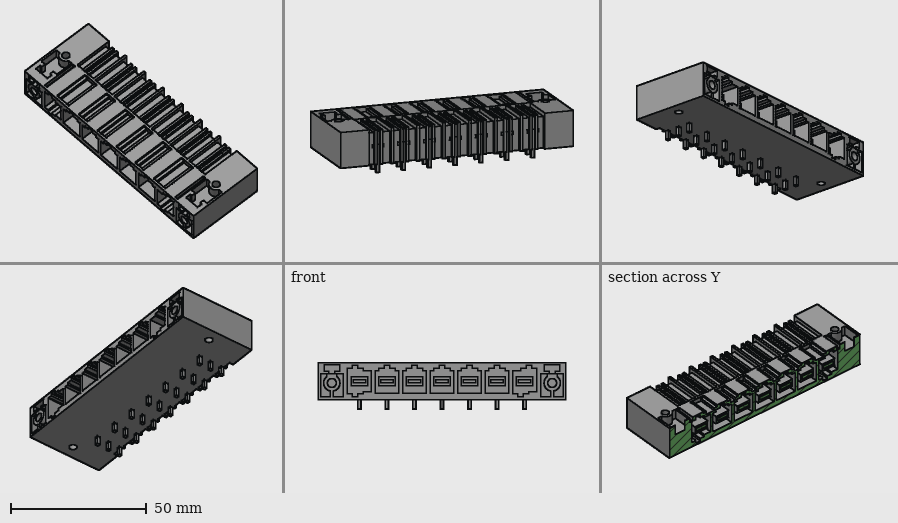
import cadquery as cq

LENGTH = 91.4
DEPTH = 32.2
HEIGHT = 13.7
POLES = 7
PITCH = LENGTH / 9
POLE_XS = [(i - (POLES - 1) / 2) * PITCH for i in range(POLES)]
WALL_XS = [x + PITCH / 2 for x in POLE_XS[:-1]]
END_X = 4 * PITCH

BLADE_WIDTH = 4.6
BLADE_BOTTOM = 6.3
BLADE_THICKNESS = 1.2
BLADE_TOP = BLADE_BOTTOM + BLADE_THICKNESS
BLADE_FRONT = 5.7
PIN_SIZE = 1.3
PIN_PITCH = 5.1
PIN_DROP = 3.4
PIN_ROWS = 3

SOCKET_WIDTH = 8.8
SOCKET_FLOOR = 2.5
SOCKET_LOW_FLOOR = 2.2
SOCKET_HIGH_FLOOR = 3.0
SOCKET_SHOULDER = 10.7
SOCKET_ROOF = 11.6
SHOULDER_WIDTH = 1.4
END_SHOULDER_WIDTH = 2.9
KEY_WIDTH = 2.0
KEY_TOP = 12.7
KEY_BOTTOM = 1.1
END_KEY_OFFSET = 1.6
SOCKET_DEPTH = 15.2
SLEEVE_WIDTH = 6.1
SLEEVE_HEIGHT = 3.4

TERRACE_WIDTH = 69.1
TERRACE_FRONT = 16.3
TERRACE_BACK = 30.5
TERRACE_FLOOR = 12.1
FIN_WIDTH = 1.0
TWIN_FIN_SPACING = 2.2
TWIN_FIN_BACK = 31.5
TWIN_FIN_TOP = 13.1
TWIN_GAP_FILL_TOP = 12.3
WINDOW_FRONT = 19.0
WINDOW_BACK = 28.35

GROOVE_FRONT = 1.1
GROOVE_BACK = SOCKET_DEPTH
GROOVE_LEDGE = 13.0
GROOVE_FLOOR = 11.9
LEDGE_WIDTH = 1.4
GROOVE_CORE = 2.0
WIDE_GROOVE_CORE = 3.7
WIDE_GROOVE_SHIFT = 0.7
END_SLOT_WIDTH = 1.2
END_SLOT_X = 35.3

SCREW_RADIUS = 1.5
SCREW_Y = DEPTH / 2
SCREW_BOSS_RADIUS = 2.65
TOP_POCKET_FLOOR = 9.6
POCKET_WIDTH = 8.3
POCKET_FRONT = 7.7
POCKET_BACK = GROOVE_BACK
NECK_WIDTH = 4.5
NECK_FRONT = 6.0
TOE_WIDTH = 6.1
TOE_FRONT = 3.8
FACE_POCKET_BOTTOM = 1.1
FACE_POCKET_TOP = 9.6
FACE_POCKET_DEPTH = 3.75
HUB_Z = 6.2
HUB_RADIUS = 3.0
HUB_BORE_RADIUS = 1.65
HUB_STEM_WIDTH = 3.6
HUB_RIB_WIDTH = 1.0
TEE_WIDTH = 5.7
TEE_TOP = 13.0
TEE_STEP = 10.5
TEE_NECK_WIDTH = 2.2
TEE_DEPTH = 3.1


def block(x0, x1, y0, y1, z0, z1):
    """Box between two opposite corners."""
    return cq.Workplane("XY").box(x1 - x0, y1 - y0, z1 - z0, centered=False).translate((x0, y0, z0))


def centred_block(x, width, y0, y1, z0, z1):
    return block(x - width / 2, x + width / 2, y0, y1, z0, z1)


def cylinder_y(x, z, radius, depth):
    """Cylinder running back from the front face."""
    return cq.Workplane("XZ").center(x, z).circle(radius).extrude(-depth)


def contact(x):
    """Flat blade with three solder pins."""
    body = centred_block(x, BLADE_WIDTH, BLADE_FRONT, TERRACE_BACK, BLADE_BOTTOM, BLADE_TOP)
    for row in range(PIN_ROWS):
        back = TERRACE_BACK - row * PIN_PITCH
        body = body.union(centred_block(x, PIN_SIZE, back - PIN_SIZE, back, -PIN_DROP, BLADE_BOTTOM))
    return body


def socket_slice(x0, x1, z0, z1):
    """Part of a socket, reaching from the front face to the socket's end."""
    return block(x0, x1, 0, SOCKET_DEPTH, z0, z1)


def key_slot(x, z0, z1):
    return socket_slice(x - KEY_WIDTH / 2, x + KEY_WIDTH / 2, z0, z1)


def sleeve(x):
    """Insulating sleeve that stands in the socket around the contact's blade."""
    middle = (BLADE_BOTTOM + BLADE_TOP) / 2
    bottom = middle - SLEEVE_HEIGHT / 2
    return centred_block(x, SLEEVE_WIDTH, BLADE_FRONT, SOCKET_DEPTH, bottom, bottom + SLEEVE_HEIGHT)


def inner_socket(x):
    """Socket with two roof shoulders and a key slot in the middle of its roof."""
    half = SOCKET_WIDTH / 2
    roof_half = half - SHOULDER_WIDTH
    cut = socket_slice(x - half, x + half, SOCKET_FLOOR, SOCKET_SHOULDER)
    cut = cut.union(socket_slice(x - roof_half, x + roof_half, SOCKET_SHOULDER, SOCKET_ROOF))
    cut = cut.union(key_slot(x, SOCKET_ROOF, KEY_TOP))
    return cut.cut(sleeve(x))


def end_socket(x, side):
    """Socket with one roof shoulder, facing the middle, and key slots in its roof and floor.

    side is -1 at the -X end and 1 at the +X end. The floor has its step on the +X side at both ends.
    """
    half = SOCKET_WIDTH / 2
    step = half - END_SHOULDER_WIDTH
    roof_start, roof_end = sorted((side * half, -side * step))
    cut = socket_slice(x - half, x + half, SOCKET_HIGH_FLOOR, SOCKET_SHOULDER)
    cut = cut.union(socket_slice(x + roof_start, x + roof_end, SOCKET_SHOULDER, SOCKET_ROOF))
    cut = cut.union(socket_slice(x - half, x + step, SOCKET_LOW_FLOOR, SOCKET_HIGH_FLOOR))
    cut = cut.union(key_slot(x + side * END_KEY_OFFSET, SOCKET_ROOF, KEY_TOP))
    cut = cut.union(key_slot(x - END_KEY_OFFSET, KEY_BOTTOM, SOCKET_LOW_FLOOR))
    return cut.cut(sleeve(x))


def groove(x, core):
    """Groove with a deeper core between two ledges."""
    cut = centred_block(x, core + 2 * LEDGE_WIDTH, GROOVE_FRONT, GROOVE_BACK, GROOVE_LEDGE, HEIGHT)
    return cut.union(centred_block(x, core, GROOVE_FRONT, GROOVE_BACK, GROOVE_FLOOR, HEIGHT))


def top_pocket(x):
    """Stepped pocket in the top, with a round wall left around the screw hole."""
    cut = centred_block(x, POCKET_WIDTH, POCKET_FRONT, POCKET_BACK, TOP_POCKET_FLOOR, HEIGHT)
    cut = cut.union(centred_block(x, NECK_WIDTH, NECK_FRONT, POCKET_FRONT, TOP_POCKET_FLOOR, HEIGHT))
    cut = cut.union(centred_block(x, TOE_WIDTH, TOE_FRONT, NECK_FRONT, TOP_POCKET_FLOOR, HEIGHT))
    boss = cq.Workplane("XY").center(x, SCREW_Y).circle(SCREW_BOSS_RADIUS).extrude(HEIGHT)
    return cut.cut(boss)


def face_pocket(x):
    """Pocket in the front face around a bored hub, which hangs on a stem and stands on a rib."""
    cut = centred_block(x, POCKET_WIDTH, 0, FACE_POCKET_DEPTH, FACE_POCKET_BOTTOM, FACE_POCKET_TOP)
    cut = cut.cut(cylinder_y(x, HUB_Z, HUB_RADIUS, FACE_POCKET_DEPTH))
    cut = cut.cut(centred_block(x, HUB_STEM_WIDTH, 0, FACE_POCKET_DEPTH, HUB_Z, FACE_POCKET_TOP))
    cut = cut.cut(centred_block(x, HUB_RIB_WIDTH, 0, FACE_POCKET_DEPTH, FACE_POCKET_BOTTOM, HUB_Z))
    return cut.union(cylinder_y(x, HUB_Z, HUB_BORE_RADIUS, FACE_POCKET_DEPTH))


def tee_slot(x):
    """T-shaped slot in the front face, above the hub."""
    cut = centred_block(x, TEE_WIDTH, 0, TEE_DEPTH, TEE_STEP, TEE_TOP)
    return cut.union(centred_block(x, TEE_NECK_WIDTH, 0, TEE_DEPTH, FACE_POCKET_TOP, TEE_STEP))


def fin(x, back, top):
    """Thin fin on the terrace that also runs down the terrace's rear wall."""
    upper = centred_block(x, FIN_WIDTH, TERRACE_FRONT, back, TERRACE_FLOOR, top)
    return upper.union(centred_block(x, FIN_WIDTH, TERRACE_BACK, back, 0, top))


def twin_fins(x):
    """Two fins over a contact, with the gap between them partly filled except at a window."""
    fins = fin(x - TWIN_FIN_SPACING / 2, TWIN_FIN_BACK, TWIN_FIN_TOP)
    fins = fins.union(fin(x + TWIN_FIN_SPACING / 2, TWIN_FIN_BACK, TWIN_FIN_TOP))
    gap = TWIN_FIN_SPACING - FIN_WIDTH
    for front, back in ((TERRACE_FRONT, WINDOW_FRONT), (WINDOW_BACK, TERRACE_BACK)):
        fins = fins.union(centred_block(x, gap, front, back, TERRACE_FLOOR, TWIN_GAP_FILL_TOP))
    return fins


def add_terrace(body):
    """Lower the top and set back the rear wall between the fixing blocks, then add the fins."""
    body = body.cut(centred_block(0, TERRACE_WIDTH, TERRACE_FRONT, DEPTH, TERRACE_FLOOR, HEIGHT))
    body = body.cut(centred_block(0, TERRACE_WIDTH, TERRACE_BACK, DEPTH, 0, HEIGHT))
    for x in WALL_XS:
        body = body.union(fin(x, DEPTH, HEIGHT))
    for x in POLE_XS:
        body = body.union(twin_fins(x))
    return body


def cut_sockets(body):
    for x in POLE_XS[1:-1]:
        body = body.cut(inner_socket(x))
    body = body.cut(end_socket(POLE_XS[0], -1))
    return body.cut(end_socket(POLE_XS[-1], 1))


def cut_grooves(body):
    for x in WALL_XS[1:-1]:
        body = body.cut(groove(x, GROOVE_CORE))
    body = body.cut(groove(WALL_XS[0] - WIDE_GROOVE_SHIFT, WIDE_GROOVE_CORE))
    body = body.cut(groove(WALL_XS[-1] + WIDE_GROOVE_SHIFT, WIDE_GROOVE_CORE))
    for x in (-END_SLOT_X, END_SLOT_X):
        body = body.cut(centred_block(x, END_SLOT_WIDTH, GROOVE_FRONT, GROOVE_BACK, GROOVE_FLOOR, HEIGHT))
    return body


def cut_fixing_blocks(body):
    for x in (-END_X, END_X):
        body = body.cut(top_pocket(x))
        body = body.cut(face_pocket(x))
        body = body.cut(tee_slot(x))
        body = body.cut(cq.Workplane("XY").center(x, SCREW_Y).circle(SCREW_RADIUS).extrude(HEIGHT))
    return body


def make_housing(contacts):
    """Housing with a matching hole for every contact."""
    body = block(-LENGTH / 2, LENGTH / 2, 0, DEPTH, 0, HEIGHT)
    body = add_terrace(body)
    body = cut_sockets(body)
    body = cut_grooves(body)
    body = cut_fixing_blocks(body)
    for metal in contacts:
        body = body.cut(metal)
    return body


contacts = [contact(x) for x in POLE_XS]
housing = make_housing(contacts)

result = cq.Compound.makeCompound([housing.solids().val(), *[metal.solids().val() for metal in contacts]])